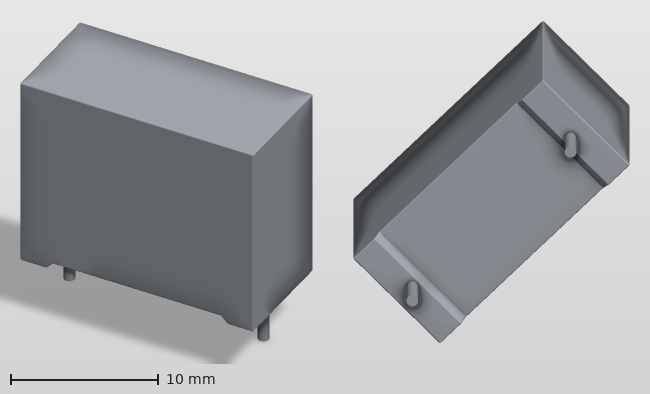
import cadquery as cq

body_length = 18.0
body_depth = 8.4
total_height = 18.0
pin_length = 3.5
body_height = total_height - pin_length

recess_height = 0.5
recess_top_width = 13.0
recess_mouth_width = recess_top_width + 2 * recess_height

edge_radius = 0.1

pin_diameter = 0.8
pin_pitch = 15.0
pin_embed = 0.9


def make_body():
    """Box with a bevelled recess through its depth; outer edges rounded, recess corners sharp."""
    half_length = body_length / 2
    half_mouth = recess_mouth_width / 2
    half_top = recess_top_width / 2
    outline = [
        (-half_length, 0),
        (-half_mouth, 0),
        (-half_top, recess_height),
        (half_top, recess_height),
        (half_mouth, 0),
        (half_length, 0),
        (half_length, body_height),
        (-half_length, body_height),
    ]
    block = cq.Workplane("XZ").polyline(outline).close().extrude(body_depth / 2, both=True)
    side_edges = block.edges("|Y").edges("<X or >X")
    return block.faces("<Y or >Y").edges().add(side_edges).fillet(edge_radius)


def make_pins():
    """Two round pins hanging below the body, centred in its depth."""
    return (
        cq.Workplane("XY")
        .workplane(offset=-pin_length)
        .pushPoints([(-pin_pitch / 2, 0), (pin_pitch / 2, 0)])
        .circle(pin_diameter / 2)
        .extrude(pin_length + pin_embed)
    )


result = make_body().union(make_pins())